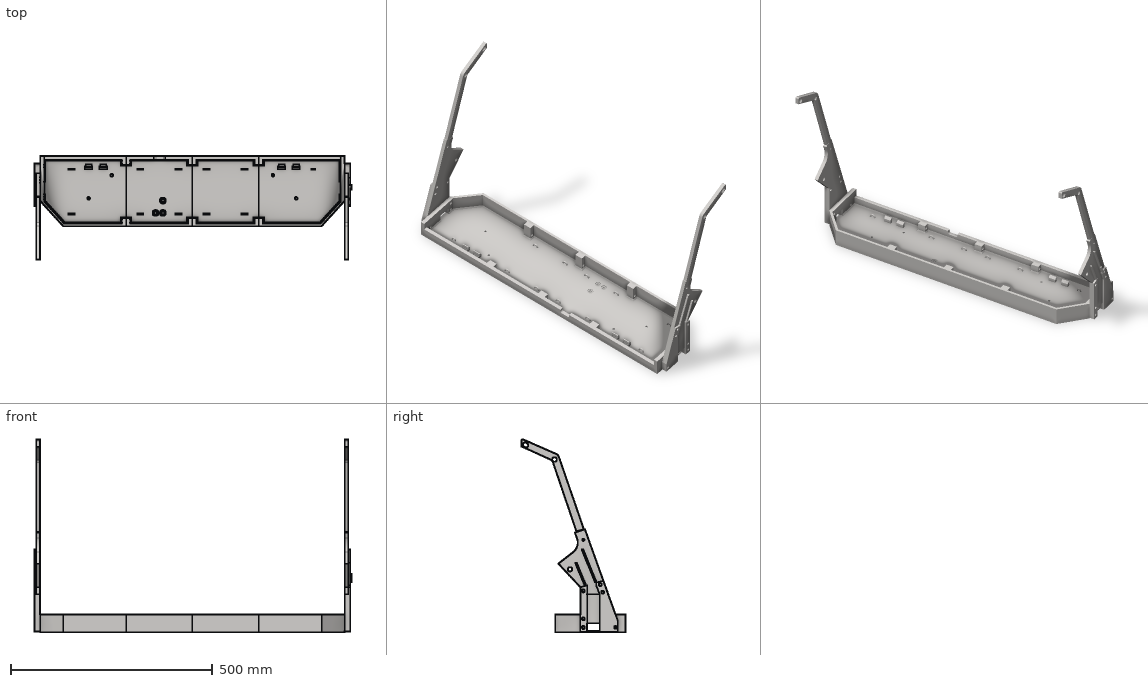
import cadquery as cq
import math


tray_half_length = 378.0
tray_depth = 175.0
tray_height = 45.0
rear_wall_height = 25.0
floor_thickness = 5.0
front_wall = 6.0
rear_wall = 9.5
end_wall = 10.0
corner_cut_x = 57.5
corner_cut_y = 63.0
floor_chamfer = 3.0
seam_offset = 164.5

block_half_width = 10.0
front_block_reach = 20.0
rear_block_reach = 22.0
block_bolt_diameter = 8.0
block_bolt_height = 15.0

window_front = 79.5
window_rear = 110.0
window_top = 23.0
mount_bottom = 2.0

loop_height = 8.0
loop_half_width = 8.0
narrow_loop_half_width = 5.5
loop_bore_ratio = 0.6
loop_thickness = 3.0
loop_front_y = 31.0
loop_rear_y = 142.0
end_loop_x = 300.0
middle_loop_xs = (35.0, 129.0)
floor_hole_diameter = 6.0
floor_holes = ((200.0, 127.0), (257.0, 69.0))
recess_diameter = 15.0
recess_depth = 1.5
recess_bore_diameter = 8.0
recess_bore_depth = 3.0
recess_points = ((-73.0, 64.0), (-73.0, 33.0), (-91.0, 33.0))
clip_xs = (221.0, 257.0)
clip_width = 19.0
clip_front = 142.0
clip_rear = 149.0
clip_height = 13.0
clip_foot = 5.0
clip_foot_width = 15.0

notch_x = -82.0
notch_width = 28.0
notch_depth = 9.5
notch_radius = 5.0

plate_thickness = 9.5
tab_thickness = 5.0
pad_thickness = 3.0
mount_thickness = plate_thickness + tab_thickness

arm_rear_foot = (72.0, 256.0)
arm_front_foot = (53.0, 250.0)
elbow_outer = (8.0, 441.0)
elbow_inner = (-7.0, 426.5)
arm_tip_top = (-83.5, 481.0)
arm_tip_bottom = (-83.5, 461.0)
arm_tip_heel = (-76.0, 458.0)
elbow_outer_radius = 16.0
elbow_inner_radius = 12.0
tip_radius = 3.0
elbow_hole = (-1.5, 429.0)
elbow_hole_diameter = 11.0
tip_hole = (-73.0, 465.0)
tip_hole_diameter = 10.0
tip_hole_length = 13.0
arm_reach_angle = 25.0

bracket_rear_top = (74.0, 256.5)
bracket_front_top = (49.0, 248.0)
neck_top = (53.5, 234.5)
neck_middle = (56.0, 220.0)
neck_bottom = (46.5, 201.0)
wing_tip = (8.0, 171.0)
wing_bottom = (63.0, 112.0)
web_top = 95.0
rear_foot_corner = (156.0, 28.0)
wing_hole = (37.0, 157.0)
wing_hole_diameter = 10.0
bracket_screw = (70.0, 230.0)
bracket_screw_diameter = 5.0

front_leg_front = 63.0
front_leg_rear = window_front
rear_leg_front = window_rear
front_tab_top = (79.5, 117.0)
rear_tab_z = 128.0
rear_tab_front = (101.5, 123.5)
rear_tab_corner = (101.5, 118.0)
frame_bolt_diameter = 6.8
frame_bolt_points = ((70.0, 103.0), (70.0, 34.0), (70.0, 12.5), (149.5, 12.5), (118.0, 100.0), (112.0, 119.0))

rib_width = 4.0
rear_rib = ((68.0, 206.0), (101.0, 125.0))
front_rib = ((52.0, 172.0), (75.0, 117.0))
pad_top = 145.5


def profile_workplane(side, offset):
    """YZ workplane at a distance outside the tray's end face; side is -1 or +1."""
    return cq.Workplane("YZ", origin=(side * (tray_half_length + offset), 0, 0))


def side_polygon(side, points, thickness, offset=0.0):
    """Prism with a (Y, Z) outline, growing outward from the tray's end."""
    return profile_workplane(side, offset).polyline(points).close().extrude(side * thickness)


def side_holes(points, diameter):
    """Drills along X, long enough to pass through both side frames."""
    length = 4 * tray_half_length
    return cq.Workplane("YZ").pushPoints(points).circle(diameter / 2).extrude(length / 2, both=True)


def box_between(x_range, y_range, z_range):
    """Box given by its limits along the three axes."""
    size = [high - low for low, high in (x_range, y_range, z_range)]
    corner = (x_range[0], y_range[0], z_range[0])
    return cq.Workplane("XY", origin=corner).box(*size, centered=False)


def rear_edge_y(z):
    """Y of the straight sloping rear edge shared by bracket and mount."""
    slope = (rear_foot_corner[0] - bracket_rear_top[0]) / (bracket_rear_top[1] - rear_foot_corner[1])
    return bracket_rear_top[0] + slope * (bracket_rear_top[1] - z)



frame_bolt_holes = side_holes(frame_bolt_points, frame_bolt_diameter)
seam_xs = (-seam_offset, 0.0, seam_offset)


def cut_corner_outline(half_length, front, rear, cut_x, cut_y):
    """Rectangle with both front corners cut off."""
    points = [
        (-half_length, rear),
        (-half_length, front + cut_y),
        (-half_length + cut_x, front),
        (half_length - cut_x, front),
        (half_length, front + cut_y),
        (half_length, rear),
    ]
    return cq.Workplane("XY").polyline(points).close()


def tray_cavity():
    """Space above the floor, narrowed by the seam blocks and chamfered where it meets the floor."""
    slant_length = math.hypot(corner_cut_x, corner_cut_y)
    inward_scale = 1 + front_wall * slant_length / (corner_cut_x * corner_cut_y)
    inner_cut_x = corner_cut_x * (inward_scale - front_wall / corner_cut_y) - end_wall
    inner_cut_y = corner_cut_y * (inward_scale - end_wall / corner_cut_x) - front_wall
    cavity = cut_corner_outline(
        tray_half_length - end_wall, front_wall, tray_depth - rear_wall, inner_cut_x, inner_cut_y
    ).extrude(tray_height)
    for x in seam_xs:
        x_range = (x - block_half_width, x + block_half_width)
        cavity = cavity.cut(box_between(x_range, (0, front_block_reach), (0, tray_height)))
        cavity = cavity.cut(box_between(x_range, (tray_depth - rear_block_reach, tray_depth), (0, tray_height)))
    return cavity.faces("<Z").chamfer(floor_chamfer).translate((0, 0, floor_thickness))


def window_cutter(side):
    """Opening through an end wall, with a sill that slopes down and outward."""
    inner_x = tray_half_length - end_wall - floor_chamfer
    points = [
        (side * inner_x, floor_thickness),
        (side * tray_half_length, mount_bottom),
        (side * tray_half_length, window_top),
        (side * inner_x, window_top),
    ]
    profile = cq.Workplane("XZ", origin=(0, window_front, 0)).polyline(points).close()
    return profile.extrude(window_front - window_rear)


def notch_cutter():
    """Cable notch with rounded lower corners, open at the top of the rear wall."""
    x_range = (notch_x - notch_width / 2, notch_x + notch_width / 2)
    y_range = (tray_depth - rear_wall, tray_depth)
    notch = box_between(x_range, y_range, (rear_wall_height - notch_depth, tray_height))
    return notch.edges("|Y and <Z").fillet(notch_radius)


def floor_recesses():
    """Stepped blind recesses sunk into the floor."""
    floor = cq.Workplane("XY", origin=(0, 0, floor_thickness)).pushPoints(recess_points)
    wide = floor.circle(recess_diameter / 2).extrude(-recess_depth)
    narrow = floor.circle(recess_bore_diameter / 2).extrude(-recess_bore_depth)
    return wide.union(narrow)


def cable_loop(x, y, half_width):
    """Round-topped arch standing on the floor, for a cable tie."""
    spring_height = loop_height - half_width
    bore = half_width * loop_bore_ratio
    profile = cq.Workplane("XZ", origin=(x, y + loop_thickness / 2, floor_thickness + spring_height))
    ring = profile.circle(half_width).circle(bore).extrude(loop_thickness)
    x_range = (x - half_width, x + half_width)
    y_range = (y - loop_thickness / 2, y + loop_thickness / 2)
    spring_z = floor_thickness + spring_height
    loop = ring.intersect(box_between(x_range, y_range, (spring_z, tray_height)))
    if spring_height > 0:
        legs = box_between(x_range, y_range, (floor_thickness, spring_z))
        gap = box_between((x - bore, x + bore), y_range, (floor_thickness, spring_z))
        loop = loop.union(legs.cut(gap))
    return loop


def clip(x):
    """Upright clip with a sloping front at the top and a smaller sloping foot behind it."""
    body_points = [
        (clip_front, 0),
        (clip_front, clip_height - clip_foot),
        (clip_front + clip_foot, clip_height),
        (clip_rear, clip_height),
        (clip_rear, 0),
    ]
    foot_points = [(clip_rear, 0), (clip_rear, clip_foot), (clip_rear + clip_foot, 0)]
    profile = cq.Workplane("YZ", origin=(x, 0, floor_thickness))
    body = profile.polyline(body_points).close().extrude(clip_width / 2, both=True)
    foot = profile.polyline(foot_points).close().extrude(clip_foot_width / 2, both=True)
    return body.union(foot)


def whole_tray():
    """The tray before it is divided at its seams."""
    tray = cut_corner_outline(tray_half_length, 0, tray_depth, corner_cut_x, corner_cut_y).extrude(tray_height)
    tray = tray.cut(tray_cavity())

    inner_half_length = tray_half_length - end_wall
    tray = tray.cut(
        box_between(
            (-inner_half_length, inner_half_length),
            (tray_depth - rear_block_reach, tray_depth),
            (rear_wall_height, tray_height),
        )
    )
    tray = tray.cut(notch_cutter())
    tray = tray.cut(frame_bolt_holes.intersect(end_wall_zones()))

    block_bolt_ys = [
        (front_wall + front_block_reach) / 2,
        tray_depth - (rear_wall + rear_block_reach) / 2,
    ]
    bolt_axes = [(y, block_bolt_height) for y in block_bolt_ys]
    bolts = side_holes(bolt_axes, block_bolt_diameter)
    bolt_reach = seam_offset + block_half_width
    tray = tray.cut(bolts.intersect(box_between((-bolt_reach, bolt_reach), (0, tray_depth), (0, tray_height))))

    for side in (-1, 1):
        tray = tray.cut(window_cutter(side))
        hole_points = [(side * x, y) for x, y in floor_holes]
        holes = cq.Workplane("XY").pushPoints(hole_points).circle(floor_hole_diameter / 2)
        tray = tray.cut(holes.extrude(floor_thickness))
        for x in clip_xs:
            tray = tray.union(clip(side * x))
        for x in middle_loop_xs:
            for y in (loop_front_y, loop_rear_y):
                tray = tray.union(cable_loop(side * x, y, loop_half_width))
    for y in (loop_front_y, loop_rear_y):
        tray = tray.union(cable_loop(-end_loop_x, y, loop_half_width))
    tray = tray.union(cable_loop(end_loop_x, loop_rear_y, narrow_loop_half_width))
    return tray.cut(floor_recesses())


def end_wall_zones():
    """The two end walls' share of the tray's volume."""
    zones = cq.Workplane("XY")
    for side in (-1, 1):
        x_limits = sorted((side * (tray_half_length - end_wall), side * tray_half_length))
        zones = zones.add(box_between(x_limits, (0, tray_depth), (0, tray_height)))
    return zones.combine()


def tray_module(tray, x_range):
    """Piece of the tray between two X positions."""
    return tray.intersect(box_between(x_range, (0, tray_depth), (0, tray_height)))




def arm(side):
    """Bent bar standing on the bracket."""
    points = [
        arm_rear_foot,
        elbow_outer,
        arm_tip_top,
        arm_tip_bottom,
        arm_tip_heel,
        elbow_inner,
        arm_front_foot,
    ]
    body = side_polygon(side, points, plate_thickness)
    body = round_edge(body, elbow_outer, elbow_outer_radius)
    body = round_edge(body, elbow_inner, elbow_inner_radius)
    body = round_edge(body, arm_tip_top, tip_radius)
    body = body.cut(side_holes([elbow_hole], elbow_hole_diameter))
    slot = (
        cq.Workplane("YZ")
        .center(*tip_hole)
        .slot2D(tip_hole_length, tip_hole_diameter, -arm_reach_angle)
        .extrude(4 * tray_half_length, both=True)
    )
    return body.cut(slot)


def round_edge(body, point, radius):
    """Fillet the edge along X that passes through a (Y, Z) point."""
    middle_x = body.val().Center().x
    edge = body.edges(cq.selectors.NearestToPointSelector((middle_x, *point)))
    return edge.fillet(radius)


def rib(side, ends, offset, thickness):
    """Narrow slanted rib between two (Y, Z) ends, level at the top and bottom."""
    (top_y, top_z), (bottom_y, bottom_z) = ends
    half = rib_width / 2
    points = [
        (top_y - half, top_z),
        (top_y + half, top_z),
        (bottom_y + half, bottom_z),
        (bottom_y - half, bottom_z),
    ]
    return side_polygon(side, points, thickness, offset)


def bracket(side):
    """Plate with a wing and two ribs; the right-hand one has a raised pad on its rear rib."""
    plate = (
        profile_workplane(side, 0)
        .moveTo(rear_edge_y(web_top), web_top)
        .lineTo(*bracket_rear_top)
        .lineTo(*bracket_front_top)
        .lineTo(*neck_top)
        .threePointArc(neck_middle, neck_bottom)
        .lineTo(*wing_tip)
        .lineTo(*wing_bottom)
        .lineTo(front_leg_front, web_top)
        .close()
        .extrude(side * plate_thickness)
    )
    for ends in (rear_rib, front_rib):
        plate = plate.union(rib(side, ends, plate_thickness, tab_thickness))
    if side > 0:
        (top_y, top_z), (bottom_y, bottom_z) = rear_rib
        pad_y = bottom_y + (top_y - bottom_y) * (pad_top - bottom_z) / (top_z - bottom_z)
        plate = plate.union(rib(side, ((pad_y, pad_top), rear_rib[1]), mount_thickness, pad_thickness))
    plate = plate.cut(side_holes([wing_hole], wing_hole_diameter))
    plate = plate.cut(side_holes([bracket_screw], bracket_screw_diameter))
    return plate.cut(frame_bolt_holes)


def mount(side):
    """Two legs joined by a thinner web, with tabs that lap over the outside of the bracket."""
    rear_leg = [
        (rear_foot_corner[0], mount_bottom),
        rear_foot_corner,
        (rear_edge_y(web_top), web_top),
        (rear_leg_front, web_top),
        (rear_leg_front, mount_bottom),
    ]
    front_leg = [
        (front_leg_front, mount_bottom),
        (front_leg_front, web_top),
        (front_leg_rear, web_top),
        (front_leg_rear, mount_bottom),
    ]
    web = [
        (front_leg_rear, window_top),
        (front_leg_rear, web_top),
        (rear_leg_front, web_top),
        (rear_leg_front, window_top),
    ]
    rear_tab = [
        (rear_edge_y(web_top), web_top),
        (rear_edge_y(rear_tab_z), rear_tab_z),
        rear_tab_front,
        rear_tab_corner,
        (rear_leg_front, web_top),
    ]
    front_tab = [
        (front_leg_front, web_top),
        wing_bottom,
        front_tab_top,
        (front_leg_rear, web_top),
    ]
    body = side_polygon(side, rear_leg, mount_thickness)
    body = body.union(side_polygon(side, front_leg, mount_thickness))
    body = body.union(side_polygon(side, web, plate_thickness))
    for tab in (rear_tab, front_tab):
        body = body.union(side_polygon(side, tab, tab_thickness, plate_thickness))
    return body.cut(frame_bolt_holes)



tray = whole_tray()
end_modules = [
    tray_module(tray, (-tray_half_length, -seam_offset)),
    tray_module(tray, (seam_offset, tray_half_length)),
]
middle_modules = [
    tray_module(tray, (-seam_offset, 0)),
    tray_module(tray, (0, seam_offset)),
]
sides = (-1, 1)
arms = [arm(side) for side in sides]
brackets = [bracket(side) for side in sides]
mounts = [mount(side) for side in sides]

bodies = end_modules + middle_modules + arms + brackets + mounts
result = cq.Compound.makeCompound([body.val() for body in bodies])